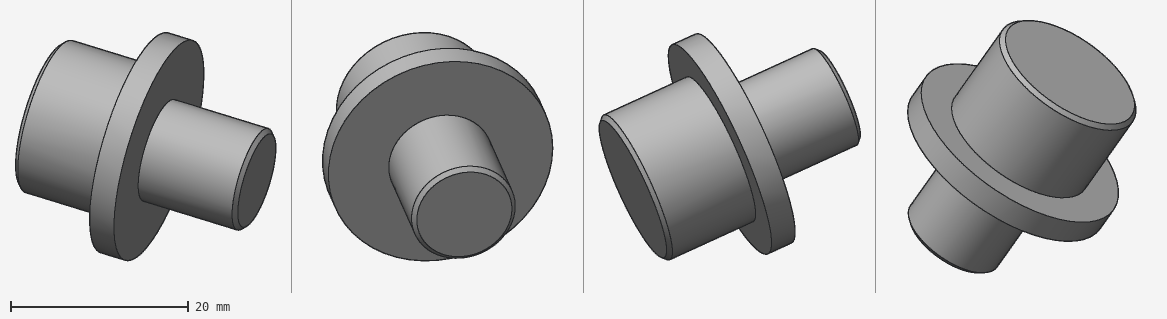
import cadquery as cq

total_length = 26.0
flange_diameter = 26.0
flange_thickness = 3.0
large_diameter = 18.0
large_length = 11.0
small_diameter = 12.0
small_length = total_length - large_length - flange_thickness
end_chamfer = 0.5


def cylinder_along_x(start_x, diameter, length):
    """Solid cylinder running toward +X from start_x."""
    return cq.Workplane("YZ", origin=(start_x, 0, 0)).circle(diameter / 2).extrude(length)


flange_start = large_length
flange_end = flange_start + flange_thickness

large_spigot = cylinder_along_x(0, large_diameter, large_length).faces("<X").chamfer(end_chamfer)
flange = cylinder_along_x(flange_start, flange_diameter, flange_thickness)
small_spigot = cylinder_along_x(flange_end, small_diameter, small_length).faces(">X").chamfer(end_chamfer)

result = large_spigot.union(flange).union(small_spigot)